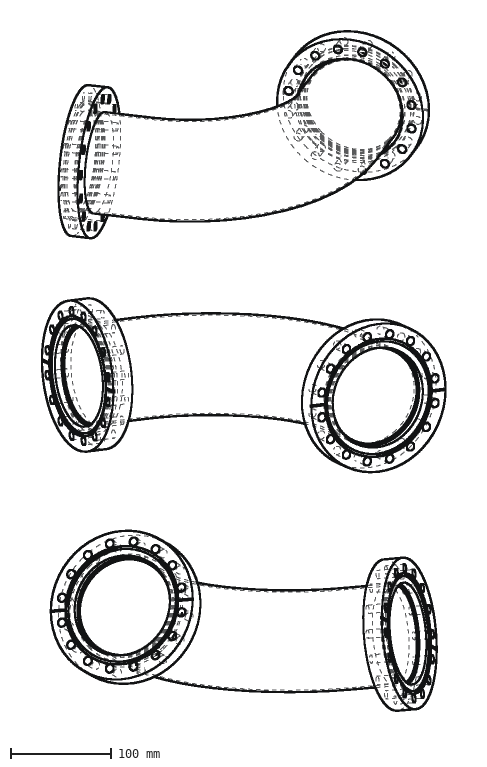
import cadquery as cq
import math

bend_radius = 152.4
tube_outer_diameter = 102.0
tube_wall = 2.0
flange_diameter = 152.0
leg_x = 222.0
leg_y = 222.1

fixed_thickness = 20.0
rotatable_thickness = 21.5

bolt_count = 16
bolt_circle_diameter = 130.3
bolt_hole_diameter = 8.4

gasket_recess_diameter = 120.8
knife_edge_diameter = 115.2
gasket_floor_depth = 2.2
knife_edge_depth = 0.9
inner_land_depth = 1.5
leak_groove_width = 1.2
leak_groove_depth = 1.2

weld_lip_depth = 9.0
weld_lip_length = 2.0

back_opening_diameter = 109.8
insert_thickness = 13.0

tube_end_depth = weld_lip_depth + weld_lip_length
tube_radius = tube_outer_diameter / 2
tube_inner_radius = tube_radius - tube_wall
flange_radius = flange_diameter / 2
recess_radius = gasket_recess_diameter / 2
knife_radius = knife_edge_diameter / 2
back_opening_radius = back_opening_diameter / 2


def revolve_about_z(points):
    """Turn a closed (radius, depth) outline about Z; depth runs along +Z from the outer face."""
    return cq.Workplane("XZ").polyline(points).close().revolve(360, (0, 0), (0, 1))


def bolt_holes(thickness):
    """The ring of through holes, straddling the flange's X and Y centre lines."""
    return (
        cq.Workplane("XY")
        .polarArray(bolt_circle_diameter / 2, 180 / bolt_count, 360, bolt_count)
        .circle(bolt_hole_diameter / 2)
        .extrude(thickness)
    )


def leak_groove():
    """A narrow groove across the outer face along the flange's Y axis, broken by the gasket recess."""
    recess = cq.Workplane("XY").circle(recess_radius).extrude(leak_groove_depth)
    return cq.Workplane("XY").rect(leak_groove_width, flange_diameter).extrude(leak_groove_depth).cut(recess)


def sealing_outline():
    """Outline points from the tube end over the weld lip and knife edge to the gasket recess wall."""
    return [
        (tube_radius, tube_end_depth),
        (tube_inner_radius, tube_end_depth),
        (tube_inner_radius, weld_lip_depth),
        (tube_radius, weld_lip_depth),
        (tube_radius, inner_land_depth),
        (knife_radius, inner_land_depth),
        (knife_radius, knife_edge_depth),
        (recess_radius, gasket_floor_depth),
    ]


def make_fixed_flange():
    """One-piece flange that carries its own sealing face and tube seat."""
    body = revolve_about_z(
        sealing_outline()
        + [
            (recess_radius, 0),
            (flange_radius, 0),
            (flange_radius, fixed_thickness),
            (tube_radius, fixed_thickness),
        ]
    )
    return body.cut(bolt_holes(fixed_thickness)).cut(leak_groove())


def make_rotatable_flange():
    """Bolt ring, bored to take the insert from the front and open behind it."""
    body = revolve_about_z(
        [
            (recess_radius, 0),
            (flange_radius, 0),
            (flange_radius, rotatable_thickness),
            (back_opening_radius, rotatable_thickness),
            (back_opening_radius, insert_thickness),
            (recess_radius, insert_thickness),
        ]
    )
    return body.cut(bolt_holes(rotatable_thickness)).cut(leak_groove())


def make_insert():
    """Ring inside the rotatable flange that carries the sealing face and tube seat."""
    return revolve_about_z(
        sealing_outline()
        + [
            (recess_radius, insert_thickness),
            (tube_radius, insert_thickness),
        ]
    )


def make_elbow():
    """Straight end, quarter bend and straight end, swept as one tube."""
    start_x = -leg_x + tube_end_depth
    end_y = leg_y - tube_end_depth
    middle = bend_radius * math.sqrt(0.5)
    path = (
        cq.Workplane("XY")
        .moveTo(start_x, 0)
        .lineTo(-bend_radius, 0)
        .threePointArc((middle - bend_radius, bend_radius - middle), (0, bend_radius))
        .lineTo(0, end_y)
    )
    return (
        cq.Workplane("YZ", origin=(start_x, 0, 0))
        .circle(tube_radius)
        .circle(tube_inner_radius)
        .sweep(path)
    )


def on_x_leg(body):
    """Stand a body on the end of the X leg, with its outer face toward -X."""
    return body.rotate((0, 0, 0), (0, 1, 0), 90).translate((-leg_x, 0, 0))


def on_y_leg(body):
    """Stand a body on the end of the Y leg, with its outer face toward +Y."""
    return body.rotate((0, 0, 0), (0, 0, 1), 90).rotate((0, 0, 0), (1, 0, 0), 90).translate((0, leg_y, 0))


elbow = make_elbow()
fixed_flange = on_x_leg(make_fixed_flange())
rotatable_flange = on_y_leg(make_rotatable_flange())
insert = on_y_leg(make_insert())

result = cq.Compound.makeCompound([elbow.val(), fixed_flange.val(), rotatable_flange.val(), insert.val()])